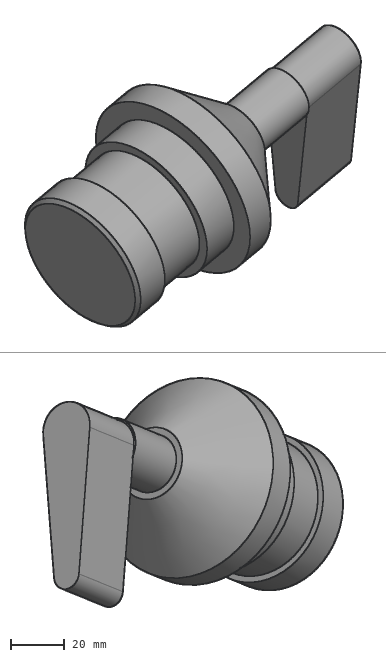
import cadquery as cq
import math

total_length = 146.0

head_length = 15.0
neck_length = 22.0
shoulder_length = 15.0
flange_length = 11.7
cone_length = 24.4
lever_length = 30.1

head_radius = 28.6
head_chamfer = 1.5
neck_radius = 26.3
shoulder_radius = 30.1
flange_radius = 38.1
cone_end_radius = 13.7
shaft_radius = 11.1

hub_radius = 10.4
tip_radius = 5.5
lever_reach = 61.6
tip_distance = lever_reach - tip_radius

neck_start = head_length
shoulder_start = neck_start + neck_length
flange_start = shoulder_start + shoulder_length
cone_start = flange_start + flange_length
shaft_start = cone_start + cone_length
lever_start = total_length - lever_length


def make_body():
    """Revolve the stepped half-profile about the Y axis."""
    profile = [
        (0, 0),
        (head_radius - head_chamfer, 0),
        (head_radius, head_chamfer),
        (head_radius, neck_start),
        (neck_radius, neck_start),
        (neck_radius, shoulder_start),
        (shoulder_radius, shoulder_start),
        (shoulder_radius, flange_start),
        (flange_radius, flange_start),
        (flange_radius, cone_start),
        (cone_end_radius, shaft_start),
        (shaft_radius, shaft_start),
        (shaft_radius, lever_start),
        (0, lever_start),
    ]
    return cq.Workplane("XY").polyline(profile).close().revolve(360, (0, 0), (0, 1))


def make_lever():
    """Extrude the tapered lever, which hangs from the axis towards -Z."""
    taper = math.asin((hub_radius - tip_radius) / tip_distance)
    hub_x = hub_radius * math.cos(taper)
    hub_z = -hub_radius * math.sin(taper)
    tip_x = tip_radius * math.cos(taper)
    tip_z = -tip_distance - tip_radius * math.sin(taper)
    return (
        cq.Workplane("XZ", origin=(0, lever_start, 0))
        .moveTo(-hub_x, hub_z)
        .threePointArc((0, hub_radius), (hub_x, hub_z))
        .lineTo(tip_x, tip_z)
        .threePointArc((0, -lever_reach), (-tip_x, tip_z))
        .close()
        .extrude(-lever_length)
    )


result = make_body().union(make_lever())